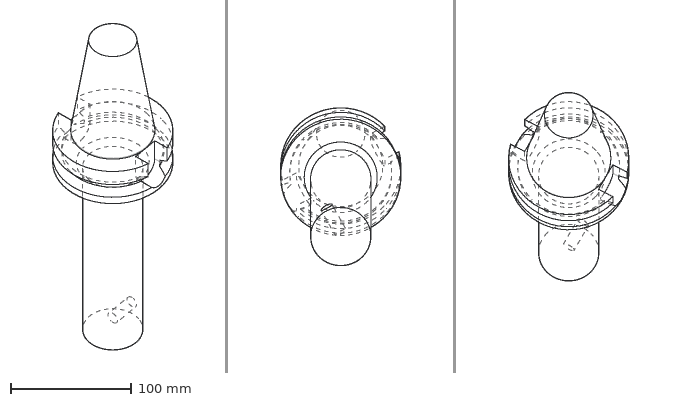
import cadquery as cq
import math

total_height = 329.8
taper_base_z = 228.0
flange_top_z = 227.0
flange_bottom_z = 190.3

gauge_diameter = 70.0
flange_diameter = 100.0
groove_diameter = 84.8
shank_diameter = 50.0

taper_ratio = 7 / 24
taper_top_diameter = gauge_diameter - taper_ratio * (total_height - taper_base_z)

groove_top_z = 212.0
groove_bottom_z = 197.5
groove_wall_angle = math.radians(30)
groove_depth = (flange_diameter - groove_diameter) / 2
groove_wall_height = groove_depth * math.tan(groove_wall_angle)

collar_height = 5.3

slot_width = 24.7
slot_bottom_z = 194.0
slot_floor_x = gauge_diameter / 2

screw_hole_diameter = 10.2
screw_hole_z = 13.2


def make_body():
    """Revolve the half profile around Z."""
    flange_radius = flange_diameter / 2
    groove_radius = groove_diameter / 2
    shank_radius = shank_diameter / 2
    gauge_radius = gauge_diameter / 2
    profile = [
        (0, 0),
        (shank_radius, 0),
        (shank_radius, flange_bottom_z - collar_height),
        (shank_radius + collar_height, flange_bottom_z),
        (flange_radius, flange_bottom_z),
        (flange_radius, groove_bottom_z),
        (groove_radius, groove_bottom_z + groove_wall_height),
        (groove_radius, groove_top_z - groove_wall_height),
        (flange_radius, groove_top_z),
        (flange_radius, flange_top_z),
        (gauge_radius, flange_top_z),
        (gauge_radius, taper_base_z),
        (taper_top_diameter / 2, total_height),
        (0, total_height),
    ]
    return cq.Workplane("XZ").polyline(profile).close().revolve(360, (0, 0), (0, 1))


def make_drive_slot(side):
    """Cutter for one drive slot; side is +1 or -1 along X."""
    half_width = slot_width / 2
    arc_start_z = slot_bottom_z + half_width
    slot_length = flange_diameter / 2
    return (
        cq.Workplane("YZ", origin=(side * slot_floor_x, 0, 0))
        .moveTo(-half_width, total_height)
        .lineTo(-half_width, arc_start_z)
        .threePointArc((0, slot_bottom_z), (half_width, arc_start_z))
        .lineTo(half_width, total_height)
        .close()
        .extrude(side * slot_length)
    )


def make_screw_hole():
    """Cutter running from the shank axis out through the +Y side."""
    return (
        cq.Workplane("XZ", origin=(0, 0, screw_hole_z))
        .circle(screw_hole_diameter / 2)
        .extrude(-shank_diameter)
    )


result = make_body()
for side in (-1, 1):
    result = result.cut(make_drive_slot(side))
result = result.cut(make_screw_hole())